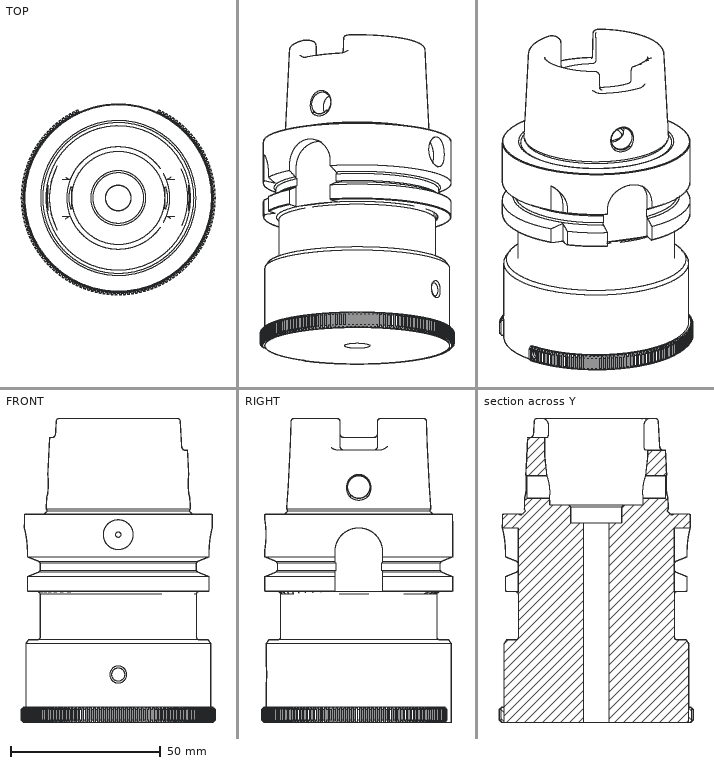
import cadquery as cq
import math


TOLERANCE = 0.01

SHANK_TOP = 32.0
BODY_BOTTOM = -69.9
SHANK_BASE = 1.7
FLANGE_BOTTOM = -26.0
BARREL_TOP = -42.1
GROOVE_MIDDLE = -17.7
RING_HEIGHT = 5.2

SHANK_TOP_RADIUS = 22.7
TAPER_PER_SIDE = 1 / 20
SHANK_BASE_RADIUS = SHANK_TOP_RADIUS + (SHANK_TOP - SHANK_BASE) * TAPER_PER_SIDE
SHANK_EDGE_ROUND = 1.0

RELIEF_RADIUS = 23.8
RELIEF_TOP = 0.9
RELIEF_DEPTH = 0.35
RELIEF_INNER_RADIUS = 25.3
RELIEF_OUTER_RADIUS = 26.0

FLANGE_RADIUS = 31.5
FLANGE_EDGE = 0.25
GROOVE_RADIUS = 27.3
GROOVE_HALF_FLOOR = 1.2
GROOVE_HALF_MOUTH = 3.3
GROOVE_CORNER = 0.6

NECK_RADIUS = 26.25
NECK_ROUND = 0.8
BARREL_RADIUS = 31.0
BARREL_CHAMFER_WIDTH = 0.9
BARREL_CHAMFER_HEIGHT = 1.3

BORE_RADIUS = 17.2
BORE_MOUTH_ROUND = 2.2
BORE_SHOULDER_Z = 19.0
BORE_TAPER_END_Z = 4.5
BORE_FLOOR_RADIUS = 15.6
BORE_FLOOR_Z = 3.0
SOCKET_RADIUS = 8.5
SOCKET_CHAMFER = 0.7
SOCKET_DEPTH = 6.0
THROUGH_RADIUS = 4.25

DRIVE_SLOT_HALF_WIDTH = 6.27
DRIVE_SLOT_FLARE = 2.4
DRIVE_SLOT_FLOOR_ROUND = 1.2
DRIVE_SLOT_DEPTHS = {-1: 6.35, 1: 10.6}

CROSS_HOLE_Z = 9.0
CROSS_HOLE_RADIUS = 3.75
CROSS_HOLE_CHAMFER = 0.7

KEY_SLOT_RADIUS = 8.0
KEY_SLOT_TOP = -4.7
KEY_SLOT_FLOOR_X = 26.2
NOTCH_FLOOR_X = 20.1
NOTCH_SIDE_Y = 20.0

CHIP_HOLE_Z = -6.95
CHIP_HOLE_RADIUS = 5.0
CHIP_HOLE_DEPTH = 4.6
CHIP_DIMPLE_RADIUS = 0.9
CHIP_DIMPLE_DEPTH = 1.0
SCREW_HOLE_Z = -53.8
SCREW_HOLE_RADIUS = 2.2
SCREW_HOLE_DEPTH = 8.0
SCREW_HOLE_CHAMFER = 0.7

RING_RADIUS = 32.5
RING_CHAMFER = 0.8
RING_TEETH = 150
TOOTH_DEPTH = 0.55
RING_GAP_HALF_ANGLE = 24.5
RING_SPIN = 90 + RING_GAP_HALF_ANGLE
RING_HOLE_RADIUS = 1.2
RING_HOLE_ANGLE = 118.0
RING_HOLE_Z = BODY_BOTTOM + RING_HEIGHT / 2


def turned_outside():
    """Solid turned shape of the holder, from the shank down to the barrel."""
    groove_corner_radius = GROOVE_RADIUS + GROOVE_CORNER
    groove_half_corner = GROOVE_HALF_FLOOR + GROOVE_CORNER
    profile = (
        cq.Workplane("XZ")
        .moveTo(0, SHANK_TOP)
        .lineTo(SHANK_TOP_RADIUS, SHANK_TOP)
        .lineTo(SHANK_BASE_RADIUS, SHANK_BASE)
        .lineTo(RELIEF_RADIUS, RELIEF_TOP)
        .lineTo(RELIEF_INNER_RADIUS, -RELIEF_DEPTH)
        .lineTo(RELIEF_OUTER_RADIUS, 0)
        .lineTo(FLANGE_RADIUS - FLANGE_EDGE, 0)
        .lineTo(FLANGE_RADIUS, -FLANGE_EDGE)
        .lineTo(FLANGE_RADIUS, GROOVE_MIDDLE + GROOVE_HALF_MOUTH)
        .lineTo(groove_corner_radius, GROOVE_MIDDLE + groove_half_corner)
        .lineTo(GROOVE_RADIUS, GROOVE_MIDDLE + GROOVE_HALF_FLOOR)
        .lineTo(GROOVE_RADIUS, GROOVE_MIDDLE - GROOVE_HALF_FLOOR)
        .lineTo(groove_corner_radius, GROOVE_MIDDLE - groove_half_corner)
        .lineTo(FLANGE_RADIUS, GROOVE_MIDDLE - GROOVE_HALF_MOUTH)
        .lineTo(FLANGE_RADIUS, FLANGE_BOTTOM + FLANGE_EDGE)
        .lineTo(FLANGE_RADIUS - FLANGE_EDGE, FLANGE_BOTTOM)
        .lineTo(NECK_RADIUS + NECK_ROUND, FLANGE_BOTTOM)
        .radiusArc((NECK_RADIUS, FLANGE_BOTTOM - NECK_ROUND), -NECK_ROUND)
        .lineTo(NECK_RADIUS, BARREL_TOP + NECK_ROUND)
        .radiusArc((NECK_RADIUS + NECK_ROUND, BARREL_TOP), -NECK_ROUND)
        .lineTo(BARREL_RADIUS - BARREL_CHAMFER_WIDTH, BARREL_TOP)
        .lineTo(BARREL_RADIUS, BARREL_TOP - BARREL_CHAMFER_HEIGHT)
        .lineTo(BARREL_RADIUS, BODY_BOTTOM)
        .lineTo(0, BODY_BOTTOM)
        .close()
    )
    return profile.revolve(360, (0, 0, 0), (0, 1, 0))


def turned_inside():
    """Cutter for the stepped bore, with a rounded mouth and a through hole."""
    socket_floor = BORE_FLOOR_Z - SOCKET_DEPTH
    profile = (
        cq.Workplane("XZ")
        .moveTo(0, SHANK_TOP)
        .lineTo(BORE_RADIUS + BORE_MOUTH_ROUND, SHANK_TOP)
        .radiusArc((BORE_RADIUS, SHANK_TOP - BORE_MOUTH_ROUND), -BORE_MOUTH_ROUND)
        .lineTo(BORE_RADIUS, BORE_SHOULDER_Z)
        .lineTo(BORE_FLOOR_RADIUS, BORE_TAPER_END_Z)
        .lineTo(BORE_FLOOR_RADIUS, BORE_FLOOR_Z)
        .lineTo(SOCKET_RADIUS + SOCKET_CHAMFER, BORE_FLOOR_Z)
        .lineTo(SOCKET_RADIUS, BORE_FLOOR_Z - SOCKET_CHAMFER)
        .lineTo(SOCKET_RADIUS, socket_floor)
        .lineTo(THROUGH_RADIUS, socket_floor)
        .lineTo(THROUGH_RADIUS, BODY_BOTTOM)
        .lineTo(0, BODY_BOTTOM)
        .close()
    )
    return profile.revolve(360, (0, 0, 0), (0, 1, 0))


def is_slot_wall_edge(edge):
    on_wall = abs(abs(edge.Center().y) - DRIVE_SLOT_HALF_WIDTH) < TOLERANCE
    return on_wall and edge.Center().z > CROSS_HOLE_Z


def is_upright(edge):
    return abs(edge.tangentAt(0.5).z) > math.cos(math.radians(10))


def is_outer_slot_corner(edge):
    reach = math.hypot(edge.Center().x, edge.Center().y)
    return is_slot_wall_edge(edge) and is_upright(edge) and reach > BORE_RADIUS + TOLERANCE


def is_slot_floor_edge(edge):
    below_rim = edge.Center().z < SHANK_TOP - TOLERANCE
    is_level_line = edge.geomType() == "LINE" and not is_upright(edge)
    return is_slot_wall_edge(edge) and below_rim and is_level_line


def is_bore_edge(edge):
    return edge.geomType() == "CIRCLE" and abs(edge.radius() - BORE_RADIUS) < TOLERANCE


def cut_drive_slots(holder):
    """Open the bore mouth, cut a slot on each X side of the rim and round the edges."""
    bore = cq.Workplane("XY", origin=(0, 0, BORE_SHOULDER_Z)).circle(BORE_RADIUS).extrude(SHANK_TOP)
    holder = holder.cut(bore)
    for side, depth in DRIVE_SLOT_DEPTHS.items():
        slot = (
            cq.Workplane("XY", origin=(side * SHANK_TOP_RADIUS, 0, SHANK_TOP - depth))
            .rect(SHANK_TOP_RADIUS, 2 * DRIVE_SLOT_HALF_WIDTH)
            .extrude(depth)
        )
        holder = holder.cut(slot)
    holder = holder.edges().filter(is_outer_slot_corner).fillet(DRIVE_SLOT_FLARE)
    holder = holder.edges().filter(is_slot_floor_edge).fillet(DRIVE_SLOT_FLOOR_ROUND)
    rim_edges = holder.faces(">Z").edges().filter(lambda edge: not is_bore_edge(edge))
    return rim_edges.fillet(SHANK_EDGE_ROUND)


def flange_slot(side, floor_x, middle_y):
    """Round-topped slot cutter with a flat floor facing sideways, open below the flange."""
    arc_centre_z = KEY_SLOT_TOP - KEY_SLOT_RADIUS
    plane = cq.Plane(origin=(side * floor_x, middle_y, 0), xDir=(0, side, 0), normal=(side, 0, 0))
    return (
        cq.Workplane(plane)
        .moveTo(-KEY_SLOT_RADIUS, FLANGE_BOTTOM)
        .lineTo(-KEY_SLOT_RADIUS, arc_centre_z)
        .threePointArc((0, KEY_SLOT_TOP), (KEY_SLOT_RADIUS, arc_centre_z))
        .lineTo(KEY_SLOT_RADIUS, FLANGE_BOTTOM)
        .close()
        .extrude(FLANGE_RADIUS)
    )


def mouth_cone(hole_radius, chamfer, direction, surface_radius, height):
    """45-degree cone that chamfers a radial hole where it leaves a turned surface."""
    mouth_radius = hole_radius + chamfer
    outward = cq.Vector(*direction)
    surface = outward * surface_radius + cq.Vector(0, 0, height)
    return cq.Workplane(cq.Solid.makeCone(mouth_radius, 0, mouth_radius, surface, outward * -1))


def cross_hole():
    """Cutter for the hole along X through the shank, chamfered at both mouths."""
    shank_radius = SHANK_TOP_RADIUS + (SHANK_TOP - CROSS_HOLE_Z) * TAPER_PER_SIDE
    plane = cq.Plane(origin=(0, 0, CROSS_HOLE_Z), xDir=(0, 1, 0), normal=(1, 0, 0))
    cutter = cq.Workplane(plane).circle(CROSS_HOLE_RADIUS).extrude(FLANGE_RADIUS, both=True)
    for side in (-1, 1):
        direction = (side, 0, 0)
        cone = mouth_cone(CROSS_HOLE_RADIUS, CROSS_HOLE_CHAMFER, direction, shank_radius, CROSS_HOLE_Z)
        cutter = cutter.union(cone)
    return cutter


def front_hole(height, radius, bottom_y):
    """Cutter for a blind hole entering from the -Y side and ending at the given Y."""
    return cq.Workplane("XZ", origin=(0, bottom_y, height)).circle(radius).extrude(FLANGE_RADIUS)


def make_holder():
    holder = cut_drive_slots(turned_outside())
    holder = holder.cut(turned_inside())
    holder = holder.cut(cross_hole())

    for side in (-1, 1):
        holder = holder.cut(flange_slot(side, KEY_SLOT_FLOOR_X, 0))
    holder = holder.cut(flange_slot(-1, NOTCH_FLOOR_X, NOTCH_SIDE_Y + KEY_SLOT_RADIUS))

    chip_floor_y = CHIP_HOLE_DEPTH - FLANGE_RADIUS
    dimple_floor_y = chip_floor_y + CHIP_DIMPLE_DEPTH
    holder = holder.cut(front_hole(CHIP_HOLE_Z, CHIP_HOLE_RADIUS, chip_floor_y))
    holder = holder.cut(front_hole(CHIP_HOLE_Z, CHIP_DIMPLE_RADIUS, dimple_floor_y))

    screw_floor_y = SCREW_HOLE_DEPTH - BARREL_RADIUS
    holder = holder.cut(front_hole(SCREW_HOLE_Z, SCREW_HOLE_RADIUS, screw_floor_y))
    front = (0, -1, 0)
    return holder.cut(
        mouth_cone(SCREW_HOLE_RADIUS, SCREW_HOLE_CHAMFER, front, BARREL_RADIUS, SCREW_HOLE_Z)
    )


def ring_blank():
    """Chamfered C-shaped band round the barrel, open in the middle of the +Y side."""
    top = BODY_BOTTOM + RING_HEIGHT
    section = (
        cq.Workplane("XZ")
        .moveTo(BARREL_RADIUS, BODY_BOTTOM)
        .lineTo(RING_RADIUS - RING_CHAMFER, BODY_BOTTOM)
        .lineTo(RING_RADIUS, BODY_BOTTOM + RING_CHAMFER)
        .lineTo(RING_RADIUS, top - RING_CHAMFER)
        .lineTo(RING_RADIUS - RING_CHAMFER, top)
        .lineTo(BARREL_RADIUS, top)
        .close()
    )
    band = section.revolve(360 - 2 * RING_GAP_HALF_ANGLE, (0, 0, 0), (0, 1, 0))
    return band.rotate((0, 0, 0), (0, 0, 1), RING_SPIN)


def knurl_blank():
    """Toothed disc whose rim gives the ring its straight knurl."""
    root_radius = RING_RADIUS - TOOTH_DEPTH
    half_step = math.pi / RING_TEETH
    points = []
    for step in range(2 * RING_TEETH):
        start = (step - 0.5) * half_step
        end = (step + 0.5) * half_step
        radius = RING_RADIUS if step % 2 == 0 else root_radius
        points.append((radius * math.cos(start), radius * math.sin(start)))
        points.append((radius * math.cos(end), radius * math.sin(end)))
    return cq.Workplane("XY", origin=(0, 0, BODY_BOTTOM)).polyline(points).close().extrude(RING_HEIGHT)


def make_ring():
    ring = ring_blank().intersect(knurl_blank())
    angle = math.radians(RING_HOLE_ANGLE)
    outward = cq.Vector(math.cos(angle), math.sin(angle), 0)
    centre = cq.Vector(0, 0, RING_HOLE_Z)
    hole = cq.Solid.makeCylinder(RING_HOLE_RADIUS, RING_RADIUS, centre, outward)
    return ring.cut(cq.Workplane(hole))


holder = make_holder()
ring = make_ring()
result = cq.Compound.makeCompound([holder.val(), ring.val()])